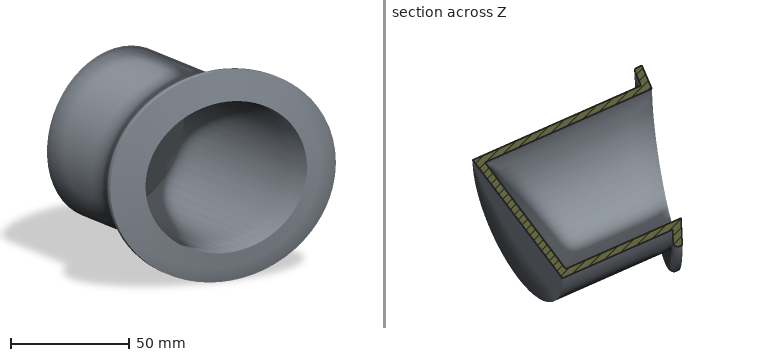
import cadquery as cq
import math

tube_diameter = 76.0
bore_diameter = 68.0
wall = (tube_diameter - bore_diameter) / 2

rim_diameter = 95.0
rim_round = 2.0
flange_thickness = wall
mouth_center_x = 76.0
mouth_tilt = 20.0
cone_slope = 8.0
front_apex_height = 2.23
back_apex_height = front_apex_height - flange_thickness / math.cos(math.radians(cone_slope))

stock_radius = 2 * rim_diameter
stock_depth = 2 * rim_diameter
stock_length = mouth_center_x + rim_diameter


def cylinder_along_x(diameter, start_x=0.0):
    """Solid cylinder about the X axis, running past the mouth."""
    return cq.Workplane("YZ", origin=(start_x, 0, 0)).circle(diameter / 2).extrude(stock_length)


def space_behind_cone(apex_height):
    """Everything on the tube side of a shallow cone about the tilted flange axis."""
    edge_height = apex_height - stock_radius * math.tan(math.radians(cone_slope))
    outline = [
        (apex_height, 0),
        (edge_height, stock_radius),
        (-stock_depth, stock_radius),
        (-stock_depth, 0),
    ]
    cone = cq.Workplane("XY").polyline(outline).close().revolve(360, (0, 0, 0), (1, 0, 0))
    return cone.rotate((0, 0, 0), (0, 0, 1), -mouth_tilt).translate((mouth_center_x, 0, 0))


def make_solid_body():
    """Tube and flange without the bore, in one piece with a shared front cone."""
    return (
        cylinder_along_x(rim_diameter)
        .intersect(space_behind_cone(front_apex_height))
        .cut(space_around_tube())
    )


def space_around_tube():
    """Everything outside the tube and behind the flange."""
    sleeve = cylinder_along_x(2 * rim_diameter).cut(cylinder_along_x(tube_diameter))
    return sleeve.intersect(space_behind_cone(back_apex_height))


def round_back_of_rim(body):
    """Round the rim edge on the tube side, the rearmost of the cone-cylinder edges."""
    slanted_edges = body.edges("%BSPLINE")
    return slanted_edges.edges("<X").fillet(rim_round)


def cut_bore(body):
    """Open the cup from the mouth, leaving a floor as thick as the wall."""
    return body.cut(cylinder_along_x(bore_diameter, start_x=wall))


result = cut_bore(round_back_of_rim(make_solid_body()))